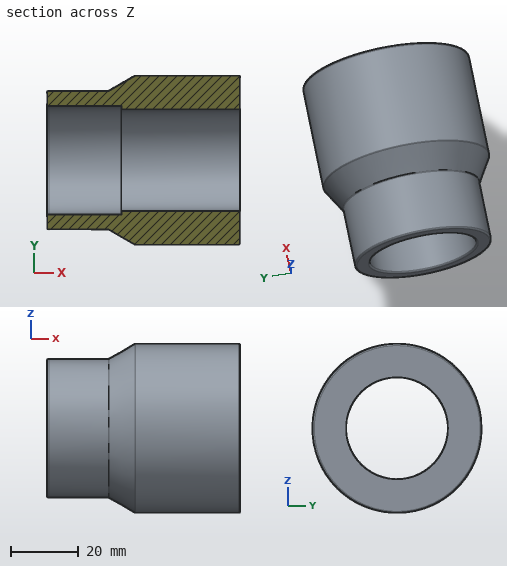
import cadquery as cq
import math

length = 57.0
body_diameter = 50.0
neck_diameter = 41.0
neck_length = 18.2
cone_half_angle = 30.0
blend_radius = 0.5
edge_round = 0.5

bore_diameter = 30.0
socket_diameter = 32.0
socket_depth = 22.0

body_radius = body_diameter / 2
neck_radius = neck_diameter / 2
cone_length = (body_radius - neck_radius) / math.tan(math.radians(cone_half_angle))
body_start = neck_length + cone_length


def make_outer_solid():
    """Neck, cone and body turned about the X axis, with blended cone edges."""
    solid = (
        cq.Workplane("XY")
        .moveTo(0, 0)
        .lineTo(0, neck_radius)
        .lineTo(neck_length, neck_radius)
        .lineTo(body_start, body_radius)
        .lineTo(length, body_radius)
        .lineTo(length, 0)
        .close()
        .revolve(360, (0, 0, 0), (1, 0, 0))
    )
    cone_edges = solid.faces("%CONE").edges("%CIRCLE")
    return cone_edges.fillet(blend_radius)


def make_bore_cutter(diameter, depth):
    """Cylinder along X starting at the neck end."""
    return cq.Workplane("YZ").circle(diameter / 2).extrude(depth)


part = make_outer_solid()
part = part.cut(make_bore_cutter(bore_diameter, length))
part = part.cut(make_bore_cutter(socket_diameter, socket_depth))

part = part.faces("<X").edges().fillet(edge_round)
body_end_edge = part.faces(">X").edges(cq.selectors.RadiusNthSelector(-1))
result = body_end_edge.fillet(edge_round)